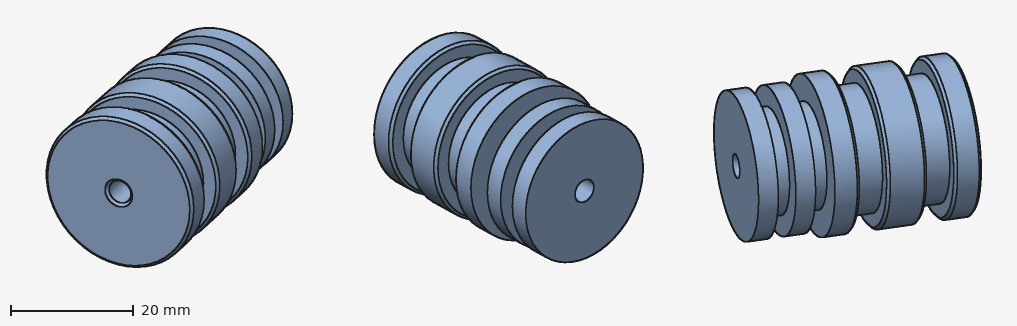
import cadquery as cq

flange_diameter = 27.0
groove_diameter = 21.5
disc_diameter = 25.0
neck_diameter = 18.0
bore_diameter = 4.0

total_length = 37.8
front_flange_width = 4.7
middle_flange_width = 6.8
rear_flange_width = 4.3
groove_width = 4.65
neck_width = 3.0
disc_width = 3.35

chamfer = 0.5


def cylinder(diameter, start, width):
    """Solid cylinder along +Y whose front face is at y = start."""
    plane = cq.Workplane("XZ", origin=(0, start, 0))
    return plane.circle(diameter / 2).extrude(-width)


def flange(start, width, chamfered_edges):
    """Large collar with the selected rim edges chamfered."""
    return cylinder(flange_diameter, start, width).edges(chamfered_edges).chamfer(chamfer)


middle_flange_start = front_flange_width + groove_width
rear_flange_start = middle_flange_start + middle_flange_width + groove_width
neck_start = rear_flange_start + rear_flange_width
first_disc_start = neck_start + neck_width
last_disc_start = first_disc_start + disc_width + neck_width

body = cylinder(groove_diameter, 0, neck_start)
body = body.union(cylinder(neck_diameter, neck_start, total_length - neck_start))

both_rims = "%CIRCLE"
front_rim = "<Y"
body = body.union(flange(0, front_flange_width, both_rims))
body = body.union(flange(middle_flange_start, middle_flange_width, both_rims))
body = body.union(flange(rear_flange_start, rear_flange_width, front_rim))

for disc_start in (first_disc_start, last_disc_start):
    body = body.union(cylinder(disc_diameter, disc_start, disc_width))

body = body.cut(cylinder(bore_diameter, 0, total_length))
result = body.faces("<Y").edges("%CIRCLE").edges(cq.selectors.RadiusNthSelector(0)).chamfer(chamfer)